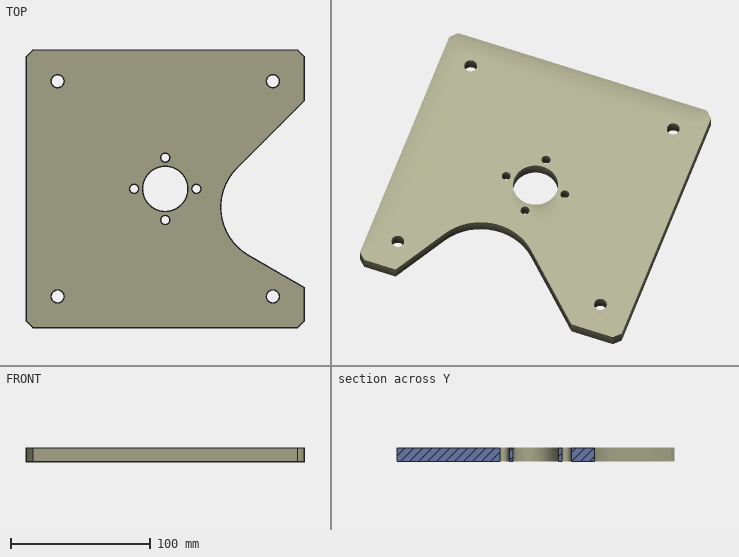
import cadquery as cq
import math

side = 200.0
thickness = 10.0
corner_chamfer = 5.0
half_side = side / 2

mount_offset = 77.5
mount_diameter = 9.2
bore_diameter = 32.5
bolt_circle_radius = 22.5
bolt_diameter = 6.5
bolt_count = 4

notch_radius = 40.0
notch_x = 80.0
notch_y = -13.2
upper_flank_angle = math.radians(45)
lower_flank_angle = math.radians(30)


def make_plate():
    plate = cq.Workplane("XY").box(side, side, thickness, centered=(True, True, False))
    return plate.edges("|Z").chamfer(corner_chamfer)


def notch_flank(angle, direction):
    """Return a flank's tangent point and its end on the plate edge; direction is +1 up, -1 down."""
    tangent_x = notch_x - notch_radius * math.sin(angle)
    tangent_y = notch_y + direction * notch_radius * math.cos(angle)
    edge_y = tangent_y + direction * (half_side - tangent_x) * math.tan(angle)
    return (tangent_x, tangent_y), (half_side, edge_y)


def make_notch():
    upper_tangent, upper_end = notch_flank(upper_flank_angle, 1)
    lower_tangent, lower_end = notch_flank(lower_flank_angle, -1)
    root = (notch_x - notch_radius, notch_y)
    return (
        cq.Workplane("XY")
        .moveTo(*upper_end)
        .lineTo(*upper_tangent)
        .threePointArc(root, lower_tangent)
        .lineTo(*lower_end)
        .close()
        .extrude(thickness)
    )


def drill_holes(plate):
    top = plate.faces(">Z").workplane(origin=(0, 0, thickness))
    plate = top.hole(bore_diameter)
    top = plate.faces(">Z").workplane(origin=(0, 0, thickness))
    plate = top.polarArray(bolt_circle_radius, 0, 360, bolt_count).hole(bolt_diameter)
    top = plate.faces(">Z").workplane(origin=(0, 0, thickness))
    return top.rect(2 * mount_offset, 2 * mount_offset, forConstruction=True).vertices().hole(mount_diameter)


result = drill_holes(make_plate().cut(make_notch()))